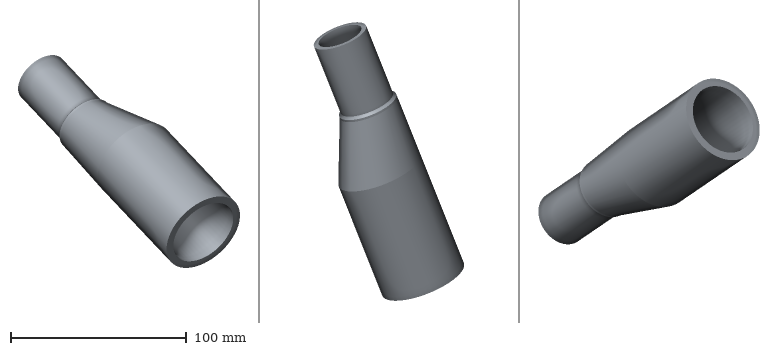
import cadquery as cq

length = 156.0
large_diameter = 50.0
large_bore = 40.9
small_diameter = 32.0
small_bore = 26.0
collar_diameter = 35.0

collar_start = 43.7
cone_start = 46.5
cone_end = 84.7

small_axis_y = -(large_diameter - collar_diameter) / 2
collar_chamfer = (collar_diameter - small_diameter) / 2


def section_at(x, axis_y):
    """Workplane across the pipe, with its circles starting on the -Y side."""
    plane = cq.Plane(origin=(x, axis_y, 0), xDir=(0, -1, 0), normal=(1, 0, 0))
    return cq.Workplane(plane)


def cylinder(diameter, start, end, axis_y):
    return section_at(start, axis_y).circle(diameter / 2).extrude(end - start)


def eccentric_cone(small_end, large_end):
    """Ruled transition from the offset small circle to the large circle."""
    return (
        section_at(cone_start, small_axis_y)
        .circle(small_end / 2)
        .workplane(offset=cone_end - cone_start)
        .center(small_axis_y, 0)
        .circle(large_end / 2)
        .loft(ruled=True, combine=True)
    )


small_pipe = cylinder(small_diameter, 0, cone_start, small_axis_y)
collar = cylinder(collar_diameter, collar_start, cone_start, small_axis_y)
collar = collar.faces("<X").chamfer(collar_chamfer)
large_pipe = cylinder(large_diameter, cone_end, length, 0)
body = small_pipe.union(collar).union(eccentric_cone(collar_diameter, large_diameter)).union(large_pipe)

passage = (
    cylinder(small_bore, 0, cone_start, small_axis_y)
    .union(eccentric_cone(small_bore, large_bore))
    .union(cylinder(large_bore, cone_end, length, 0))
)

result = body.cut(passage)